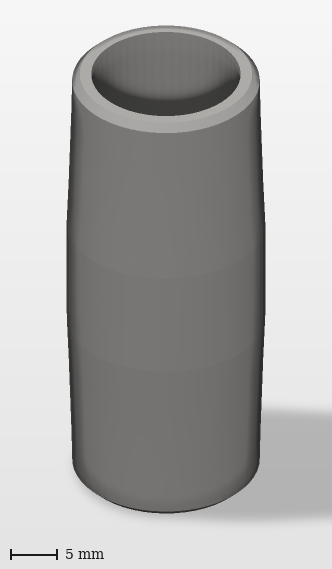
import cadquery as cq

length = 50.8
outer_diameter = 21.35
bore_diameter = 16.05
band_length = 12.1
end_diameter = 20.15
chamfer = 0.8

outer_radius = outer_diameter / 2
end_radius = end_diameter / 2
tip_radius = end_radius - chamfer
bore_radius = bore_diameter / 2

band_bottom = (length - band_length) / 2
band_top = band_bottom + band_length

wall_section = [
    (bore_radius, 0),
    (tip_radius, 0),
    (end_radius, chamfer),
    (outer_radius, band_bottom),
    (outer_radius, band_top),
    (end_radius, length - chamfer),
    (tip_radius, length),
    (bore_radius, length),
]

result = (
    cq.Workplane("XZ")
    .polyline(wall_section)
    .close()
    .revolve(360, (0, 0), (0, 1))
)